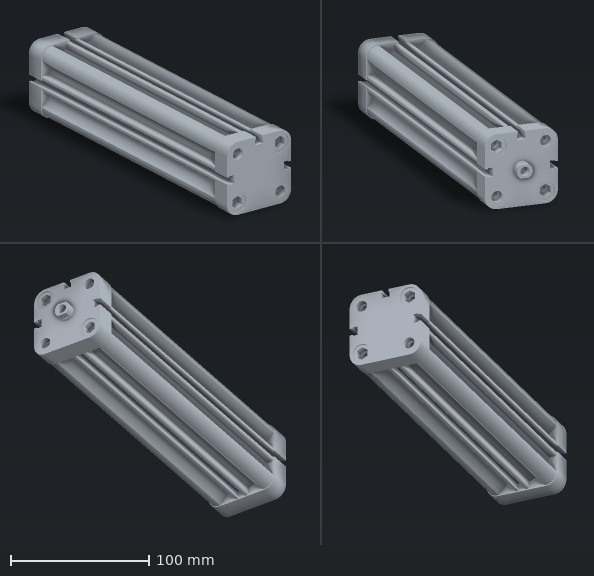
import cadquery as cq
import math


LENGTH = 253.0
ROD_PROJECTION = 7.0
CAP_LENGTH = 15.0
ROD_END = -LENGTH / 2
FRONT_FACE = ROD_END + ROD_PROJECTION
REAR_FACE = LENGTH / 2
TUBE_START = FRONT_FACE + CAP_LENGTH
TUBE_LENGTH = REAR_FACE - CAP_LENGTH - TUBE_START

CAP_SIDE = 57.0
BOLT_OFFSET = 19.0
CORNER_RADIUS = CAP_SIDE / 2 - BOLT_OFFSET
BOLT_HOLE_RADIUS = 2.5
BOLT_AXES = [(y, z) for y in (-BOLT_OFFSET, BOLT_OFFSET) for z in (-BOLT_OFFSET, BOLT_OFFSET)]

COUNTERBORED_AXES = [(y, z) for y, z in BOLT_AXES if y != z]
SOCKET_AXES = [(y, z) for y, z in BOLT_AXES if y == z]
COUNTERBORE_RADIUS = 4.3
COUNTERBORE_DEPTH = 5.0
SPOTFACE_RADIUS = 7.3
SPOTFACE_DEPTH = 0.8
SOCKET_ACROSS_FLATS = 8.5
SOCKET_DEPTH = 6.5

SLOT_DEPTH = 6.3
SLOT_FLOOR = CAP_SIDE / 2 - SLOT_DEPTH
SLOT_MOUTH_WIDTH = 5.3
SLOT_WIDTH = 6.8
CAP_LIP = 2.3
CAP_SLOT_ANGLES = (0, 90, -90)

TUBE_INSET = 0.8
TUBE_HALF = CAP_SIDE / 2 - TUBE_INSET
TUBE_LIP = CAP_LIP - TUBE_INSET
CORE_RADIUS = 22.8
POST_RADIUS = TUBE_HALF - BOLT_OFFSET
POST_ARC_OVERRUN = 3.0
RAIL_WIDTH = 12.0
RAIL_FILLET = 1.5
MOUTH_FILLET = 0.8
CORE_FILLET = 0.5
TUBE_SIDE_ANGLES = (0, 90, 180, 270)

ROD_RADIUS = 6.0
ROD_LENGTH = ROD_PROJECTION + CAP_LENGTH
ACROSS_FLATS = 10.0
FLAT_LENGTH = 4.8
ROD_HOLE_RADIUS = 3.5
ROD_HOLE_DEPTH = 10.0
DRILL_TIP_ANGLE = 120.0

TOLERANCE = 0.03


def section_plane(x):
    """Plane across the axis at x: local x is +Y, local y is +Z and extrusion goes towards +X."""
    return cq.Workplane("YZ", origin=(x, 0, 0))


def turned(shape, angle):
    return shape.rotate((0, 0, 0), (1, 0, 0), angle)


def bores(x, axes, radius, depth):
    return section_plane(x).pushPoints(axes).circle(radius).extrude(depth)


def slot_cutter(x, length, top, lip):
    """T-slot on the +Z side, open at height top and widening below its lips."""
    mouth_half = SLOT_MOUTH_WIDTH / 2
    slot_half = SLOT_WIDTH / 2
    lip_underside = top - lip
    return (
        section_plane(x)
        .polyline([
            (-mouth_half, top),
            (-mouth_half, lip_underside),
            (-slot_half, lip_underside),
            (-slot_half, SLOT_FLOOR),
            (slot_half, SLOT_FLOOR),
            (slot_half, lip_underside),
            (mouth_half, lip_underside),
            (mouth_half, top),
        ])
        .close()
        .extrude(length)
    )


def socket_cutters():
    """Hexagon sockets with two flats facing +Y and -Y."""
    circumradius = SOCKET_ACROSS_FLATS / 2 / math.cos(math.radians(30))
    corner_angles = [math.radians(30 + 60 * i) for i in range(6)]
    hexagon = [(circumradius * math.cos(a), circumradius * math.sin(a)) for a in corner_angles]
    cutters = section_plane(FRONT_FACE)
    for y, z in SOCKET_AXES:
        cutters = cutters.polyline([(y + dy, z + dz) for dy, dz in hexagon]).close()
    return cutters.extrude(SOCKET_DEPTH)


def make_cap():
    """Cap at the front end, with its outer face towards -X."""
    cap = section_plane(FRONT_FACE).rect(CAP_SIDE, CAP_SIDE).extrude(CAP_LENGTH)
    cap = cap.edges("|X").fillet(CORNER_RADIUS)
    cap = cap.cut(bores(FRONT_FACE, BOLT_AXES, BOLT_HOLE_RADIUS, CAP_LENGTH))
    cap = cap.cut(bores(FRONT_FACE, COUNTERBORED_AXES, COUNTERBORE_RADIUS, COUNTERBORE_DEPTH))
    cap = cap.cut(bores(FRONT_FACE, SOCKET_AXES, SPOTFACE_RADIUS, SPOTFACE_DEPTH))
    cap = cap.cut(socket_cutters())
    slot = slot_cutter(FRONT_FACE, CAP_LENGTH, CAP_SIDE / 2, CAP_LIP)
    for angle in CAP_SLOT_ANGLES:
        cap = cap.cut(turned(slot, angle))
    return cap


def make_front_cap():
    return make_cap().cut(section_plane(FRONT_FACE).circle(ROD_RADIUS).extrude(CAP_LENGTH))


def make_rear_cap():
    """The same cap without a rod bore, mirrored to the other end."""
    return make_cap().mirror("YZ", ((FRONT_FACE + REAR_FACE) / 2, 0, 0))


def make_post():
    """Corner post at +Y +Z: a round outer face between two 45-degree walls that run into the core."""
    overrun = math.radians(POST_ARC_OVERRUN)
    low = BOLT_OFFSET - POST_RADIUS * math.sin(overrun)
    high = BOLT_OFFSET + POST_RADIUS * math.cos(overrun)
    middle = BOLT_OFFSET + POST_RADIUS * math.sqrt(0.5)
    return (
        section_plane(TUBE_START)
        .moveTo(low, high)
        .threePointArc((middle, middle), (high, low))
        .lineTo(high - low, 0)
        .lineTo(0, 0)
        .lineTo(0, high - low)
        .close()
        .extrude(TUBE_LENGTH)
    )


def make_rail():
    """Rail on the +Z side, with rounded outer edges and no slot yet."""
    rail = section_plane(TUBE_START).center(0, TUBE_HALF / 2).rect(RAIL_WIDTH, TUBE_HALF)
    return rail.extrude(TUBE_LENGTH).edges("|X and >Z").fillet(RAIL_FILLET)


def fillet_at_radius(body, axis_distance, fillet_radius):
    """Round the edges along X that lie at the given distance from the axis."""
    edges = [
        edge
        for edge in body.edges("|X").vals()
        if abs(math.hypot(edge.Center().y, edge.Center().z) - axis_distance) < TOLERANCE
    ]
    return body.newObject(edges).fillet(fillet_radius)


def make_tube():
    tube = section_plane(TUBE_START).circle(CORE_RADIUS).extrude(TUBE_LENGTH)
    post = make_post()
    rail = make_rail()
    for angle in TUBE_SIDE_ANGLES:
        tube = tube.union(turned(post, angle)).union(turned(rail, angle))
    tube = fillet_at_radius(tube, CORE_RADIUS, CORE_FILLET)
    slot = slot_cutter(TUBE_START, TUBE_LENGTH, TUBE_HALF, TUBE_LIP)
    for angle in TUBE_SIDE_ANGLES:
        tube = tube.cut(turned(slot, angle))
    tube = fillet_at_radius(tube, math.hypot(SLOT_MOUTH_WIDTH / 2, TUBE_HALF), MOUTH_FILLET)
    return tube.cut(bores(TUBE_START, BOLT_AXES, BOLT_HOLE_RADIUS, TUBE_LENGTH))


def flat_cutter():
    """Wrench flat on the +Z side of the rod, running out at 45 degrees."""
    flat_height = ACROSS_FLATS / 2
    run_out = ROD_RADIUS - flat_height
    return (
        cq.Workplane("XZ", origin=(ROD_END, 0, 0))
        .moveTo(0, flat_height)
        .lineTo(FLAT_LENGTH, flat_height)
        .lineTo(FLAT_LENGTH + run_out, ROD_RADIUS)
        .lineTo(0, ROD_RADIUS)
        .close()
        .extrude(ROD_RADIUS, both=True)
    )


def rod_hole_cutter():
    """Blind hole from the rod end, with a conical drill tip."""
    tip_length = ROD_HOLE_RADIUS / math.tan(math.radians(DRILL_TIP_ANGLE / 2))
    return (
        cq.Workplane("XY", origin=(ROD_END, 0, 0))
        .lineTo(ROD_HOLE_DEPTH + tip_length, 0)
        .lineTo(ROD_HOLE_DEPTH, ROD_HOLE_RADIUS)
        .lineTo(0, ROD_HOLE_RADIUS)
        .close()
        .revolve(360, (0, 0, 0), (1, 0, 0))
    )


def make_rod():
    """Rod that fills the front cap's bore and ends against the tube."""
    rod = section_plane(ROD_END).circle(ROD_RADIUS).extrude(ROD_LENGTH)
    flat = flat_cutter()
    return rod.cut(flat).cut(turned(flat, 180)).cut(rod_hole_cutter())


front_cap = make_front_cap()
rear_cap = make_rear_cap()
tube = make_tube()
rod = make_rod()

bodies = [front_cap, rear_cap, tube, rod]
result = cq.Compound.makeCompound([body.solids().val() for body in bodies])